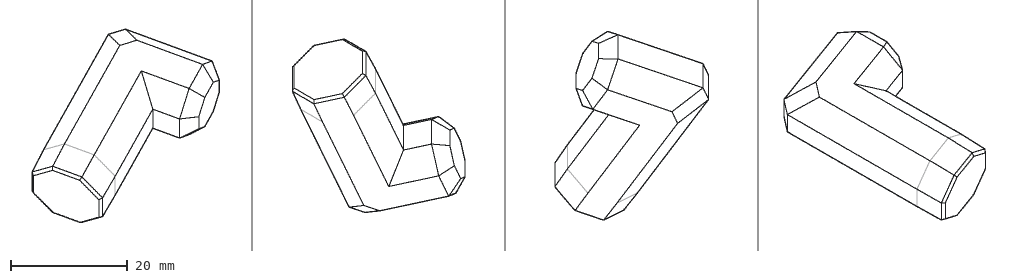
import cadquery as cq
import math

WIDTH = 13.5
LENGTH = 34.5
REACH = 21.0

ELBOW_CHAMFER = 2.2
ARM_BEVEL = 2.5
CAP_LENGTH = 5.45
CAP_SHRINK = 0.25
CAP_BEVEL = 0.5

HALF = WIDTH / 2
HALF_FLAT = HALF * math.tan(math.pi / 8)
CORNER = HALF - HALF_FLAT

ARM_END_X = REACH - HALF
ARM_BEVEL_X = ARM_END_X - ARM_BEVEL
CAP_END_Y = HALF - LENGTH
CAP_BEVEL_Y = CAP_END_Y + CAP_BEVEL
CAP_START_Y = CAP_END_Y + CAP_LENGTH

LONG_ARM_PLANE = cq.Plane(origin=(0, CAP_START_Y, 0), xDir=(1, 0, 0), normal=(0, -1, 0))
SHORT_ARM_PLANE = cq.Plane(origin=(ARM_BEVEL_X, 0, 0), xDir=(0, 1, 0), normal=(1, 0, 0))
ELBOW_PLANE = cq.Plane(origin=(0, 0, 0), xDir=(-1, 1, 0), normal=(1, 1, 0))


def octagon(plane, width, distance=0, drop=0):
    """Regular octagon at a distance along the plane's normal, lowered by drop."""
    radius = width / 2 / math.cos(math.pi / 8)
    points = []
    for i in range(8):
        angle = math.pi / 8 + i * math.pi / 4
        points.append((radius * math.cos(angle), radius * math.sin(angle) - drop))
    return cq.Workplane(plane).workplane(offset=distance).polyline(points).close()


def frustum(plane, start, end):
    """Straight-sided solid between two octagons given as (width, distance, drop)."""
    wires = [octagon(plane, *section).wires().val() for section in (start, end)]
    return cq.Workplane(cq.Solid.makeLoft(wires, True))


def mitred_bar():
    path = cq.Workplane("XY").moveTo(0, CAP_START_Y).lineTo(0, 0).lineTo(ARM_BEVEL_X, 0)
    return octagon(LONG_ARM_PLANE, WIDTH).sweep(path, transition="right")


def elbow_cutter():
    """Wedge that cuts the outer corner, following the octagonal section."""
    face = HALF * math.sqrt(2) - ELBOW_CHAMFER / math.sqrt(2)
    slope_top = face - CORNER * math.sqrt(2)
    outside = WIDTH
    profile = [
        (slope_top, HALF),
        (face, HALF_FLAT),
        (face, -HALF_FLAT),
        (slope_top, -HALF),
        (outside, -HALF),
        (outside, HALF),
    ]
    return cq.Workplane(ELBOW_PLANE).polyline(profile).close().extrude(HALF, both=True)


arm_tip = frustum(SHORT_ARM_PLANE, (WIDTH, 0, 0), (WIDTH - 2 * ARM_BEVEL, ARM_BEVEL, 0))

cap_width = WIDTH - CAP_SHRINK
cap_drop = CAP_SHRINK / 2
taper_length = CAP_START_Y - CAP_BEVEL_Y
cap = frustum(LONG_ARM_PLANE, (WIDTH, 0, 0), (cap_width, taper_length, cap_drop))
cap_tip = frustum(
    LONG_ARM_PLANE,
    (cap_width, taper_length, cap_drop),
    (cap_width - 2 * CAP_BEVEL, CAP_LENGTH, cap_drop),
)

bar = mitred_bar().cut(elbow_cutter())
result = bar.union(arm_tip).union(cap).union(cap_tip)